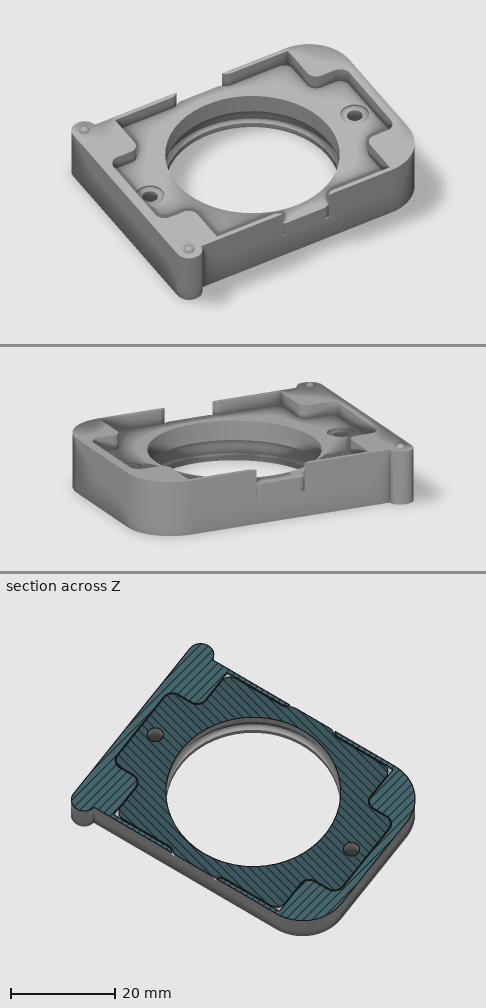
import cadquery as cq
import math

body_width = 40.3
body_length = 56.45
lug_span = 44.6
nose_radius = 9.0
nose_height = 11.0
hinge_height = 10.75
lug_length = 5.0
lug_outer_radius = 2.5
lug_inner_radius = 2.3

front_y = -body_length / 2
lug_center_x = lug_span / 2 - lug_outer_radius
lug_center_y = front_y + lug_outer_radius

dome_radius = 1.0
dome_top = 11.45

floor_height = 5.05
plate_joint_height = 6.5
plate_top_height = 8.05

pocket_center_y = 0.075
plate_half_width = 19.2
shoulder_y = 19.15
neck_half_width = 9.85
neck_end_y = 26.15
plate_fillet = 2.0
tab_half_width = body_width / 2
tab_flat_half_length = 3.93
plate_clearance = 0.1

opening_half_length = 5.1

optic_diameter = 33.5
collar_diameter = 35.5
collar_bottom = 4.1
bore_diameter = 36.0
ledge_height = 1.1
screw_spacing = 45.6
screw_diameter = 3.0
screw_head_diameter = 5.5
screw_head_depth = 0.4


def level(height):
    """Workplane at a height, with its origin on the axis of the optic opening."""
    return cq.Workplane("XY", origin=(0, pocket_center_y, height))


def cylinder(diameter, bottom, top):
    return level(bottom).circle(diameter / 2).extrude(top - bottom)


def screw_cylinders(diameter, bottom, top):
    points = [(0, -screw_spacing / 2), (0, screw_spacing / 2)]
    return level(bottom).pushPoints(points).circle(diameter / 2).extrude(top - bottom)


def mirrored_in_x_and_y(quarter):
    """Four-fold symmetric solid from its +X +Y quarter."""
    half = quarter.union(quarter.mirror("XZ", (0, pocket_center_y, 0)))
    return half.union(half.mirror("YZ"))


def cross_prism(gap, bottom, top):
    """Wide middle with its two necks, grown by a gap on every side; the wide corners stay sharp."""
    height = top - bottom
    half_width = plate_half_width + gap
    shoulder = shoulder_y + gap
    neck_x = neck_half_width + gap
    neck_y = neck_end_y + gap
    tip_radius = plate_fillet + gap
    root_radius = plate_fillet - gap
    quarter = (
        level(bottom)
        .lineTo(half_width, 0)
        .lineTo(half_width, shoulder)
        .lineTo(neck_x + root_radius, shoulder)
        .radiusArc((neck_x, shoulder + root_radius), root_radius)
        .lineTo(neck_x, neck_y - tip_radius)
        .radiusArc((neck_x - tip_radius, neck_y), -tip_radius)
        .lineTo(0, neck_y)
        .close()
        .extrude(height)
    )
    return mirrored_in_x_and_y(quarter)


def tab_prism(bottom, top):
    """Bar through both side tabs; each tab flank is an S of two equal tangent arcs."""
    step = tab_half_width - plate_half_width
    turn = math.acos(1 - step / (2 * plate_fillet))
    arc_length_y = plate_fillet * math.sin(turn)
    quarter = (
        level(bottom)
        .lineTo(tab_half_width, 0)
        .lineTo(tab_half_width, tab_flat_half_length)
        .radiusArc((tab_half_width - step / 2, tab_flat_half_length + arc_length_y), -plate_fillet)
        .radiusArc((plate_half_width, tab_flat_half_length + 2 * arc_length_y), plate_fillet)
        .lineTo(0, tab_flat_half_length + 2 * arc_length_y)
        .close()
        .extrude(top - bottom)
    )
    return mirrored_in_x_and_y(quarter)


def side_openings():
    """Bar that opens the pocket through both side walls and rounds the wall ends."""
    radius = plate_fillet - plate_clearance
    wall_x = plate_half_width + plate_clearance
    reach_x = wall_x + radius - tab_half_width
    root_y = opening_half_length + math.sqrt(radius**2 - reach_x**2)
    quarter = (
        level(floor_height)
        .lineTo(tab_half_width, 0)
        .lineTo(tab_half_width, opening_half_length)
        .radiusArc((wall_x, root_y), radius)
        .lineTo(0, root_y)
        .close()
        .extrude(nose_height - floor_height)
    )
    return mirrored_in_x_and_y(quarter)


def housing_block():
    block = cq.Workplane("XY").rect(body_width, body_length).extrude(nose_height)
    block = block.edges("|Z and >Y").fillet(nose_radius)
    lugs = (
        cq.Workplane("XY", origin=(0, front_y + lug_length / 2, 0))
        .rect(lug_span, lug_length)
        .extrude(nose_height)
        .edges("|Z and <Y").fillet(lug_outer_radius)
        .edges("|Z and >Y").fillet(lug_inner_radius)
    )
    corner_strip = (
        cq.Workplane("XY", origin=(0, lug_center_y, 0))
        .rect(body_width, 2 * lug_outer_radius)
        .extrude(nose_height)
    )
    block = block.cut(corner_strip).union(lugs)
    hinge_half_top = cq.Workplane("XY").box(
        lug_span, -front_y, nose_height - hinge_height, centered=(True, False, False)
    )
    return block.cut(hinge_half_top.translate((0, front_y, hinge_height)))


def lug_domes():
    points = [(-lug_center_x, lug_center_y), (lug_center_x, lug_center_y)]
    plane = cq.Workplane("XY", origin=(0, 0, dome_top - dome_radius))
    return plane.pushPoints(points).sphere(dome_radius)


def make_housing():
    housing = housing_block().union(lug_domes())
    housing = housing.cut(cross_prism(plate_clearance, floor_height, nose_height))
    housing = housing.cut(side_openings())
    housing = housing.cut(cylinder(optic_diameter, 0, ledge_height))
    housing = housing.cut(cylinder(bore_diameter, ledge_height, floor_height))
    return housing.cut(screw_cylinders(screw_diameter, 0, floor_height))


def make_plate(bottom, top):
    plate = cross_prism(0, bottom, top)
    plate = plate.edges("|Z and (>X or <X)").fillet(plate_fillet)
    plate = plate.union(tab_prism(bottom, top))
    plate = plate.cut(cylinder(optic_diameter, bottom, top))
    return plate.cut(screw_cylinders(screw_diameter, bottom, top))


def make_lower_plate():
    """Plate with a collar that reaches down into the housing bore."""
    collar = cylinder(collar_diameter, collar_bottom, floor_height)
    collar = collar.cut(cylinder(optic_diameter, collar_bottom, floor_height))
    return make_plate(floor_height, plate_joint_height).union(collar)


def make_upper_plate():
    """Plate with shallow recesses for the screw heads."""
    recess_floor = plate_top_height - screw_head_depth
    recesses = screw_cylinders(screw_head_diameter, recess_floor, plate_top_height)
    return make_plate(plate_joint_height, plate_top_height).cut(recesses)


housing = make_housing()
lower_plate = make_lower_plate()
upper_plate = make_upper_plate()

result = cq.Compound.makeCompound([housing.val(), lower_plate.val(), upper_plate.val()])